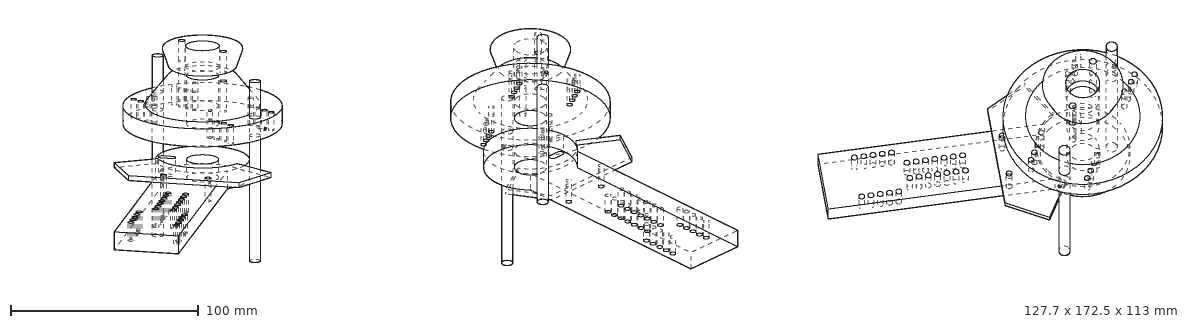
import cadquery as cq
import math

overall_length = 172.5

disc_diameter = 85.0
disc_thickness = 10.0
bore_diameter = 17.0
disc_hole_diameter = 3.0
disc_hole_first_x = 20.0
disc_hole_y = 16.0
disc_holes_per_row = 4
hole_pitch = 5.0
set_screw_diameter = 1.7

rod_diameter = 6.0
rod_length = 100.0
rod_x = 35.0
rod_y = rod_diameter / 2
rod_top_above_disc = 20.2

cone_height = 16.9
cone_top_radius = 18.3
cone_base_radius = 31.5
cone_top_fillet = 0.9
cone_base_fillet = 1.0
cone_screw_depth = 5.0

ring_gap = 4.8
ring_height = 11.5
ring_top_radius = 22.0
ring_bottom_radius = 18.1
ring_top_fillet = 1.5
ring_bottom_fillet = 1.0
ring_bore_diameter = 18.0
pin_hole_diameter = 3.6
pin_hole_x = 15.0

arm_heading = -60.0
arm_width = 35.0
arm_thickness = 10.0
hub_radius = 25.0
arm_hole_diameter = 3.1
inner_row_start = 64.0
inner_row_offset = 4.8
inner_row_count = 7
outer_row_start = 101.0
outer_row_offset = 12.5
outer_row_count = 5
slot_width = 4.0
slot_inner_end = 14.7
slot_outer_end = 24.0

plate_thickness = 2.8
plate_gap_below_disc = 17.0
plate_half_angle = 60.0
plate_reach = 49.3
plate_front = 46.5
plate_hole_along = 41.5
plate_hole_offset = 12.0

disc_radius = disc_diameter / 2
heading_angle = math.radians(arm_heading)
arm_corner_drop = arm_width / 2 * math.cos(heading_angle)
arm_length = (overall_length - disc_radius - arm_corner_drop) / -math.sin(heading_angle)
cone_base = disc_thickness
ring_base = cone_base + cone_height + ring_gap
plate_base = -plate_gap_below_disc - plate_thickness
arm_base = plate_base - arm_thickness
rod_base = disc_thickness + rod_top_above_disc - rod_length

centre = [(0, 0)]
rod_places = [(-rod_x, rod_y), (rod_x, rod_y)]
pin_hole_places = [(-pin_hole_x, 0), (pin_hole_x, 0)]
plate_hole_places = [(plate_hole_along, -plate_hole_offset), (plate_hole_along, plate_hole_offset)]


def disc_hole_column(index):
    """Four mirrored places of the disc hole with this index, counted outwards from the axis."""
    x = disc_hole_first_x + index * hole_pitch
    return [(side_x * x, side_y * disc_hole_y) for side_x in (-1, 1) for side_y in (-1, 1)]


def arm_hole_rows(start, offset, count):
    """Places of two mirrored rows of holes along the arm."""
    return [(start + i * hole_pitch, side * offset) for side in (-1, 1) for i in range(count)]


def cylinders(places, diameter, base, height):
    return cq.Workplane("XY").workplane(offset=base).pushPoints(places).circle(diameter / 2).extrude(height)


def frustum(bottom_radius, top_radius, base, height):
    profile = [(0, base), (bottom_radius, base), (top_radius, base + height), (0, base + height)]
    return cq.Workplane("XZ").polyline(profile).close().revolve(360, (0, 0, 0), (0, 1, 0))


def turn_to_heading(body):
    return body.rotate((0, 0, 0), (0, 0, 1), arm_heading)


def make_disc():
    disc = cylinders(centre, disc_diameter, 0, disc_thickness)
    disc = disc.cut(cylinders(centre, bore_diameter, 0, disc_thickness))
    disc = disc.cut(cylinders(rod_places, rod_diameter, 0, disc_thickness))
    for index in range(disc_holes_per_row):
        disc = disc.cut(cylinders(disc_hole_column(index), disc_hole_diameter, 0, disc_thickness))
    for side in (-1, 1):
        screw_hole = (
            cq.Workplane("YZ", origin=(side * rod_x, rod_y, disc_thickness / 2))
            .circle(set_screw_diameter / 2)
            .extrude(side * (disc_radius - rod_x))
        )
        disc = disc.cut(screw_hole)
    return disc


def make_cone():
    cone = frustum(cone_base_radius, cone_top_radius, cone_base, cone_height)
    cone = cone.edges(">Z").fillet(cone_top_fillet)
    cone = cone.edges("<Z").fillet(cone_base_fillet)
    cone = cone.cut(cylinders(centre, bore_diameter, cone_base, cone_height))
    cone = cone.cut(cylinders(pin_hole_places, pin_hole_diameter, cone_base, cone_height))
    return cone.cut(cylinders(disc_hole_column(0), disc_hole_diameter, cone_base, cone_screw_depth))


def make_ring():
    ring = frustum(ring_bottom_radius, ring_top_radius, ring_base, ring_height)
    ring = ring.edges(">Z").fillet(ring_top_fillet)
    ring = ring.edges("<Z").fillet(ring_bottom_fillet)
    ring = ring.cut(cylinders(centre, ring_bore_diameter, ring_base, ring_height))
    return ring.cut(cylinders(pin_hole_places, pin_hole_diameter, ring_base, ring_height))


def make_arm():
    hub = cylinders(centre, 2 * hub_radius, arm_base, arm_thickness)
    bar = (
        cq.Workplane("XY", origin=(arm_length / 2, 0, arm_base))
        .rect(arm_length, arm_width)
        .extrude(arm_thickness)
    )
    hole_places = (
        plate_hole_places
        + arm_hole_rows(inner_row_start, inner_row_offset, inner_row_count)
        + arm_hole_rows(outer_row_start, outer_row_offset, outer_row_count)
    )
    slot_middle = (slot_inner_end + slot_outer_end) / 2
    slot = (
        cq.Workplane("XY", origin=(0, -slot_middle, arm_base))
        .slot2D(slot_outer_end - slot_inner_end, slot_width, 90)
        .extrude(arm_thickness)
    )
    arm = hub.union(bar)
    arm = arm.cut(cylinders(centre, bore_diameter, arm_base, arm_thickness))
    arm = arm.cut(cylinders(hole_places, arm_hole_diameter, arm_base, arm_thickness))
    return turn_to_heading(arm.cut(slot))


def make_plate():
    wing_angle = math.radians(plate_half_angle)
    wing_x = plate_reach * math.cos(wing_angle)
    wing_y = plate_reach * math.sin(wing_angle)
    shoulder_y = wing_y - (plate_front - wing_x) / math.tan(wing_angle)
    outline = [
        (0, 0),
        (wing_x, wing_y),
        (plate_front, shoulder_y),
        (plate_front, -shoulder_y),
        (wing_x, -wing_y),
    ]
    plate = cq.Workplane("XY", origin=(0, 0, plate_base)).polyline(outline).close().extrude(plate_thickness)
    plate = plate.cut(cylinders(centre, 2 * hub_radius, plate_base, plate_thickness))
    plate = plate.cut(cylinders(plate_hole_places, arm_hole_diameter, plate_base, plate_thickness))
    return turn_to_heading(plate)


def make_rod(place):
    return cylinders([place], rod_diameter, rod_base, rod_length)


disc = make_disc()
cone = make_cone()
ring = make_ring()
arm = make_arm()
plate = make_plate()
rods = [make_rod(place) for place in rod_places]

bodies = [disc, cone, ring, arm, plate, *rods]
result = cq.Compound.makeCompound([body.solids().val() for body in bodies])